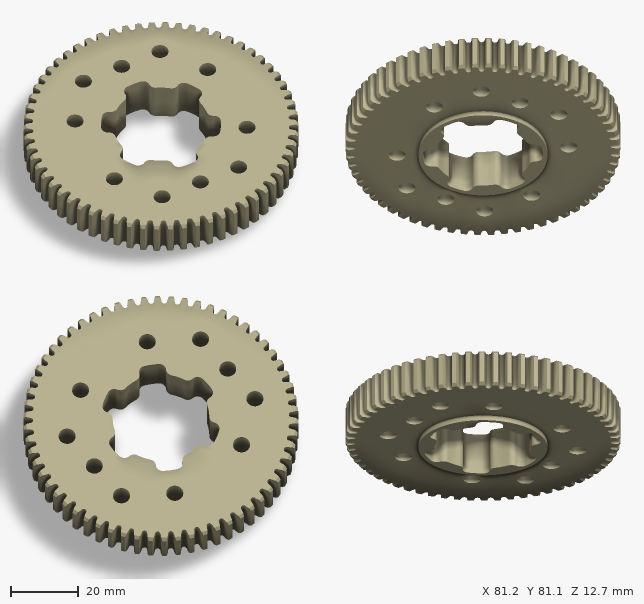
import cadquery as cq
import math

OUTER_DIAMETER = 81.2
TOTAL_HEIGHT = 12.7
BOSS_HEIGHT = 1.55
BOSS_DIAMETER = 38.1
FACE_WIDTH = TOTAL_HEIGHT - BOSS_HEIGHT
TIP_CHAMFER = 0.8

TOOTH_COUNT = 62
PRESSURE_ANGLE = math.radians(14.5)
ADDENDUM_FACTOR = 1.0
DEDENDUM_FACTOR = 1.25
ROOT_ROUND_DEPTH = 0.7
OUTER_RADIUS = OUTER_DIAMETER / 2
MODULE = OUTER_DIAMETER / (TOOTH_COUNT + 2 * ADDENDUM_FACTOR)
PITCH_RADIUS = MODULE * TOOTH_COUNT / 2
BASE_RADIUS = PITCH_RADIUS * math.cos(PRESSURE_ANGLE)
ROOT_RADIUS = PITCH_RADIUS - DEDENDUM_FACTOR * MODULE
FLANK_START_RADIUS = ROOT_RADIUS + ROOT_ROUND_DEPTH
TOOTH_PITCH_ANGLE = 2 * math.pi / TOOTH_COUNT

LOBE_COUNT = 6
BORE_RADIUS = 14.3
LOBE_RADIUS = 17.7
LOBE_WIDTH = 8.0
LOBE_TIP_FILLET = 2.0
LOBE_MOUTH_FILLET = 2.0

BOLT_HOLE_DIAMETER = 5.0
BOLT_CIRCLE_RADIUS = 25.4
BOLT_RING_COUNT = 6


def polar(radius, angle):
    return (radius * math.cos(angle), radius * math.sin(angle))


def involute(pressure_angle):
    return math.tan(pressure_angle) - pressure_angle


def tooth_half_angle(radius):
    """Half the angle that a tooth spans at a radius on its involute flank."""
    local_pressure_angle = math.acos(BASE_RADIUS / max(radius, BASE_RADIUS))
    return TOOTH_PITCH_ANGLE / 4 + involute(PRESSURE_ANGLE) - involute(local_pressure_angle)


def tooth_gap():
    """Cutter for the round-bottomed gap that follows the tooth on the +X axis."""
    flank_radii = [FLANK_START_RADIUS, PITCH_RADIUS, (PITCH_RADIUS + OUTER_RADIUS) / 2, OUTER_RADIUS]
    lower_angles = [tooth_half_angle(radius) for radius in flank_radii]
    lower = [polar(radius, angle) for radius, angle in zip(flank_radii, lower_angles)]
    upper = [
        polar(radius, TOOTH_PITCH_ANGLE - angle)
        for radius, angle in zip(flank_radii, lower_angles)
    ]
    clear_radius = OUTER_RADIUS + MODULE
    tip_angle = lower_angles[-1]
    return (
        cq.Workplane("XY")
        .moveTo(*lower[0])
        .lineTo(*lower[1])
        .threePointArc(lower[2], lower[3])
        .lineTo(*polar(clear_radius, tip_angle))
        .lineTo(*polar(clear_radius, TOOTH_PITCH_ANGLE - tip_angle))
        .lineTo(*upper[3])
        .threePointArc(upper[2], upper[1])
        .lineTo(*upper[0])
        .threePointArc(polar(ROOT_RADIUS, TOOTH_PITCH_ANGLE / 2), lower[0])
        .close()
        .extrude(FACE_WIDTH)
    )


def toothed_blank():
    blank = cq.Workplane("XY").circle(OUTER_RADIUS).extrude(FACE_WIDTH)
    blank = blank.edges("%CIRCLE").chamfer(TIP_CHAMFER)
    gap = tooth_gap().val()
    gaps = [
        gap.rotate((0, 0, 0), (0, 0, 1), math.degrees(index * TOOTH_PITCH_ANGLE))
        for index in range(TOOTH_COUNT)
    ]
    return blank.cut(cq.Compound.makeCompound(gaps))


def boss():
    return cq.Workplane("XY").circle(BOSS_DIAMETER / 2).extrude(-BOSS_HEIGHT)


def round_lobe_edges(lobes):
    """Round the mouths where the lobes meet the bore circle, then the lobe tips."""
    between = (BORE_RADIUS + LOBE_RADIUS) / 2

    def distance_from_axis(edge):
        return math.hypot(edge.Center().x, edge.Center().y)

    mouths = lobes.edges("|Z").filter(lambda edge: distance_from_axis(edge) < between)
    lobes = mouths.fillet(LOBE_MOUTH_FILLET)
    tips = lobes.edges("|Z").filter(lambda edge: distance_from_axis(edge) > between)
    return tips.fillet(LOBE_TIP_FILLET)


def lobed_bore():
    base = cq.Workplane("XY").workplane(offset=-BOSS_HEIGHT)
    lobes = base.circle(BORE_RADIUS).extrude(TOTAL_HEIGHT)
    for index in range(LOBE_COUNT // 2):
        bar = base.rect(2 * OUTER_RADIUS, LOBE_WIDTH).extrude(TOTAL_HEIGHT)
        lobes = lobes.union(bar.rotate((0, 0, 0), (0, 0, 1), index * 360 / LOBE_COUNT))
    lobes = lobes.intersect(base.circle(LOBE_RADIUS).extrude(TOTAL_HEIGHT))
    return round_lobe_edges(lobes)


def bolt_holes():
    side_pitch = BOLT_CIRCLE_RADIUS / 2
    ring = [
        polar(BOLT_CIRCLE_RADIUS, index * 2 * math.pi / BOLT_RING_COUNT)
        for index in range(BOLT_RING_COUNT)
    ]
    side = [(x * BOLT_CIRCLE_RADIUS, y * side_pitch) for x in (-1, 1) for y in (-1, 1)]
    return (
        cq.Workplane("XY")
        .pushPoints(ring + side)
        .circle(BOLT_HOLE_DIAMETER / 2)
        .extrude(FACE_WIDTH)
    )


result = toothed_blank().union(boss()).cut(lobed_bore()).cut(bolt_holes())